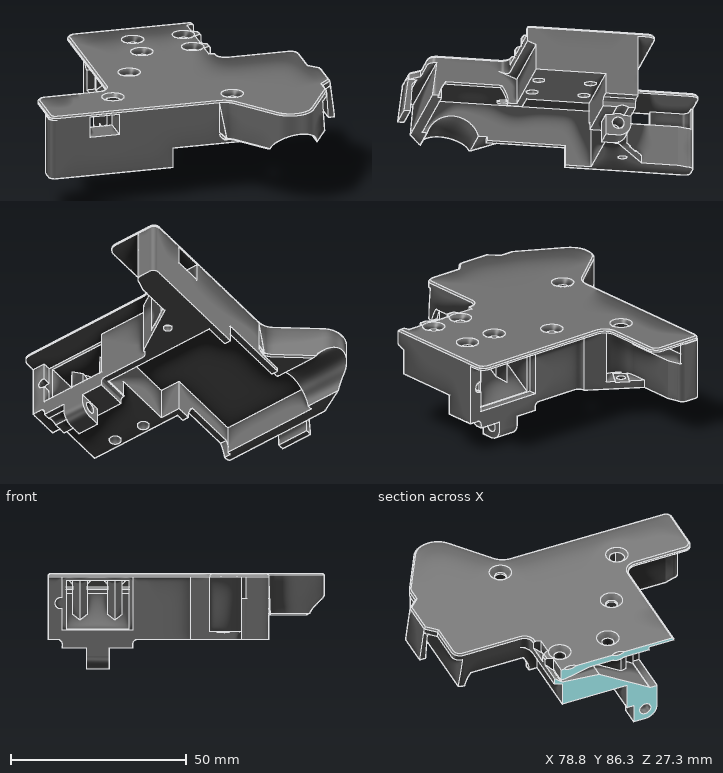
import cadquery as cq
import math


plate_t = 2.1
lip_t = 1.05
edge_chamfer = 0.5
tail_front_y = 0.25
tail_left_x = 46.2
right_x = 62.9
lip_front_y = 21.7
step_y = 59.0
step_x = 29.35
rear_y = 82.0
tab_rear_y = 84.9
tab_left_x = 44.6
tab_right_x = 54.5
tab_flare = 2.85
ear_centre = (71.9, 68.4)
ear_r = 6.87
ear_top_angle = 61.0
ear_front_angle = -51.5
corner_r = 2.6
neck_r = 3.4
ear_root_r = 5.2
ear_shoulder_r = 3.0

body_front_y = 26.9
body_deep_y = 36.3
left_rear_y = 56.5
deep_z = -18.9
mid_z = -13.0
rear_z = -11.9
wall_t = 2.0
overlap = 1.0

slant_start = (40.6, 24.8)
slant_end = (55.1, 15.4)
slant_run_in = 2.0
tail_bend_y = 4.8
tail_taper_end = (56.0, 1.9)
tail_tip_x = 57.7
tail_tip_r = 1.8
bend_offset = 0.55
tail_nose_mid = (56.5, 0.6)
recess_left_x = 46.0
recess_back_y = 26.0
recess_r = 5.7
tab_top_z = -16.6
tab_groove_w = 4.0
tab_groove_depth = 0.3
tab_groove_reach = 12.0
tab_groove_rear = 3.2

pocket_z = -7.2
pocket_front_y = 0.8
pocket_rear_y = 20.4
pocket_r = 2.0
pocket_right_x = 61.0
pocket_window_y = 11.75

frame_x = (3.95, 24.2)
frame_z = -16.1
frame_depth = 2.4
duct_x = (5.2, 23.1)
duct_floor = ((body_front_y + frame_depth, -15.9), (45.0, -5.7), (left_rear_y, -4.6), (step_y, -2.4))
duct_ceiling_dip = ((48.0, -plate_t), (55.5, -3.9))
key_z = -8.5
key_r = 1.6
key_depth = 1.95
post_half_w = 2.1
post_front_y = 33.3
post_point_len = 2.5
post_collar_margin = 2.0
post_rear_half_w = 0.8
post_rear_corner_y = 56.7
outlet_y = 56.9
outlet_x = (2.4, 25.7)
outlet_flare = 0.65
under_lip = ((left_rear_y, -5.6), (61.6, -3.6))

foot_x = (4.05, 24.2)
foot_z = -21.3
foot_r = 1.2
foot_left_run = 0.85
foot_left_drop = 1.75
lug_x = (10.9, 17.5)
lug_rear_y = 34.2
lug_bottom_z = -27.3
lug_hole = (30.6, -23.6)
pin_head_r = 2.85

saddle_centre = (69.0, -14.0)
saddle_r = 7.7
flange_r = 10.25
flange_top_z = -7.75
ear_chamfer = 0.5

rear_wall_top_y = 79.7
rear_wall_bottom_y = 80.9
rear_wall_inner_y = 77.9
clip_outer_y = 86.3
clip_t = 1.9
clip_bottom_z = -11.6
clip_inner_top_y = 83.9
clip_bend_z = -3.4
clip_bend_r = 1.3

screw_d = 3.4
pilot_d = 2.5
head_d = 6.4
post_screw_x = (9.1, 19.05)
post_screw_y = (39.0, 54.0)
lone_screw = (33.9, 31.2)
ear_screw = (58.0, 55.1)
tail_screw = (51.6, 21.6)


def box(x0, x1, y0, y1, z0, z1):
    """Axis-parallel block between two corners."""
    return cq.Workplane("XY").box(x1 - x0, y1 - y0, z1 - z0, centered=False).translate((x0, y0, z0))


def prism_x(points, x0, x1):
    """Prism along X with a (Y, Z) outline."""
    return cq.Workplane("YZ").polyline(points).close().extrude(x1 - x0).translate((x0, 0, 0))


def cylinder_x(y, z, radius, x0, x1):
    """Cylinder along X."""
    return cq.Workplane("YZ").center(y, z).circle(radius).extrude(x1 - x0).translate((x0, 0, 0))


def prism_z(points, z0, z1):
    """Prism along Z with an (X, Y) outline."""
    return cq.Workplane("XY").polyline(points).close().extrude(z1 - z0).translate((0, 0, z0))


def ear_point(angle):
    """Point of the ear arc whose outward normal has this direction in degrees."""
    a = math.radians(angle)
    return (ear_centre[0] + ear_r * math.cos(a), ear_centre[1] + ear_r * math.sin(a))


ear_top = ear_point(ear_top_angle)
ear_front = ear_point(ear_front_angle)
ear_right_x = ear_centre[0] + ear_r
ear_top_x = ear_top[0] - (rear_y - ear_top[1]) * math.tan(math.radians(ear_top_angle))
ear_root_y = ear_front[1] - (ear_front[0] - right_x) / math.tan(math.radians(-ear_front_angle))
ear_flank_mid = ((right_x + ear_front[0]) / 2, (ear_root_y + ear_front[1]) / 2, rear_z)


def fillet_at(solid, x, y, radius):
    """Round the vertical edge that stands at (x, y)."""
    tol = 0.05
    reach = -lug_bottom_z
    picker = cq.selectors.BoxSelector((x - tol, y - tol, -reach), (x + tol, y + tol, reach))
    return solid.edges("|Z").edges(picker).fillet(radius)


def outline_prism(z0, z1):
    """Prism with the outline of the cover and its rounded corners."""
    solid = (
        cq.Workplane("XY").moveTo(0, lip_front_y)
        .lineTo(tail_left_x, lip_front_y).lineTo(tail_left_x, tail_front_y)
        .lineTo(right_x, tail_front_y).lineTo(right_x, ear_root_y)
        .lineTo(*ear_front).threePointArc(ear_point(0), ear_top)
        .lineTo(ear_top_x, rear_y).lineTo(tab_right_x + tab_flare, rear_y)
        .lineTo(tab_right_x, tab_rear_y).lineTo(tab_left_x, tab_rear_y)
        .lineTo(tab_left_x - tab_flare, rear_y).lineTo(step_x, rear_y)
        .lineTo(step_x, step_y).lineTo(0, step_y).close()
        .extrude(z1 - z0).translate((0, 0, z0))
    )
    for x, y, radius in (
        (0, lip_front_y, corner_r), (tail_left_x, lip_front_y, neck_r),
        (tail_left_x, tail_front_y, corner_r), (right_x, tail_front_y, tail_tip_r),
        (right_x, ear_root_y, ear_root_r), (ear_top_x, rear_y, ear_shoulder_r),
        (step_x, rear_y, corner_r), (step_x, step_y, corner_r),
    ):
        solid = fillet_at(solid, x, y, radius)
    return solid


def make_cover():
    """Top layer of the cover with a chamfered upper edge, as thick as the front overhang."""
    cover = outline_prism(-lip_t, 0)
    sharp_end_x = step_x - corner_r
    tol = 0.1
    sharp = cq.selectors.BoxSelector((-tol, step_y - tol, -tol), (sharp_end_x + tol, step_y + tol, tol), True)
    rim = cq.selectors.InverseSelector(sharp)
    return cover.faces(">Z").edges(rim).chamfer(edge_chamfer)


def make_body():
    """Block under the cover, stepped in depth, with a slanted rear face and the thick rear rim."""
    side_profile = [
        (body_front_y, -lip_t), (body_front_y, deep_z), (body_deep_y, deep_z), (body_deep_y, mid_z),
        (step_y, mid_z), (step_y, rear_z), (rear_wall_bottom_y, rear_z),
        (rear_wall_top_y, -plate_t), (tab_rear_y, -plate_t), (tab_rear_y, -lip_t),
    ]
    body = outline_prism(deep_z, -lip_t).intersect(prism_x(side_profile, -overlap, ear_right_x))
    body = body.cut(box(right_x, ear_right_x, body_front_y, rear_y, deep_z, rear_z))
    below_lip = [under_lip[0], under_lip[1], (under_lip[1][0], deep_z), (under_lip[0][0], deep_z)]
    return body.cut(prism_x(below_lip, -overlap, step_x))


def make_front_walls():
    """Slanted front wall and the tail wall, as one solid block behind the front line."""
    bend_mid = (slant_start[0] - bend_offset, body_front_y - bend_offset)
    walls = (
        cq.Workplane("XY").moveTo(slant_start[0] - slant_run_in, body_front_y + wall_t)
        .lineTo(slant_start[0] - slant_run_in, body_front_y)
        .threePointArc(bend_mid, slant_start)
        .lineTo(*slant_end).lineTo(slant_end[0], tail_bend_y).lineTo(*tail_taper_end)
        .threePointArc(tail_nose_mid, (tail_tip_x, 0))
        .lineTo(right_x, 0).lineTo(right_x, body_front_y + wall_t).close()
        .extrude(-lip_t - deep_z).translate((0, 0, deep_z))
    )
    return fillet_at(walls, right_x, 0, tail_tip_r)


def make_screw_recess():
    """Open recess above the screw tab, with the groove across the tab."""
    x0 = recess_left_x
    x1 = slant_end[0]
    recess = box(x0, x1, 0, recess_back_y, tab_top_z, -lip_t)
    recess = fillet_at(recess, x1, recess_back_y, recess_r)
    slant_angle = math.degrees(math.atan2(slant_end[1] - slant_start[1], slant_end[0] - slant_start[0]))
    groove = box(-tab_groove_w / 2, tab_groove_w / 2, -tab_groove_reach, tab_groove_rear, -tab_groove_depth, 0)
    groove = groove.rotate((0, 0, 0), (0, 0, 1), slant_angle).translate((*tail_screw, tab_top_z))
    return recess.union(groove.intersect(recess.translate((0, 0, -tab_groove_depth))))


def make_tail_pocket():
    """Pocket in the top of the tail wall, open to the left and partly to the right."""
    x0 = slant_end[0] - overlap
    pocket = box(x0, pocket_right_x, pocket_front_y, pocket_rear_y, pocket_z, -lip_t)
    pocket = fillet_at(pocket, pocket_right_x, pocket_front_y, pocket_r)
    window = box(x0, right_x + overlap, pocket_window_y, pocket_rear_y, pocket_z, -lip_t)
    return pocket.union(window)


def make_cavity():
    """Space inside the walls, open at the bottom."""
    x1 = right_x - wall_t
    y0 = body_front_y + wall_t
    y1 = left_rear_y - wall_t
    x_low = duct_x[1] + wall_t
    x_high = step_x + wall_t
    outline = [
        (x_low, y0), (x1, y0), (x1, rear_wall_inner_y),
        (x_high, rear_wall_inner_y), (x_high, y1), (x_low, y1),
    ]
    return prism_z(outline, deep_z - overlap, -plate_t)


def make_saddle():
    """Round channel along X, wider where it passes the left rear wall."""
    y, z = saddle_centre
    saddle = cylinder_x(y, z, saddle_r, step_x + wall_t, ear_right_x)
    flange = cylinder_x(y, z, flange_r, step_x - overlap, step_x + wall_t)
    below = box(step_x - overlap, step_x + wall_t, step_y, rear_y, deep_z, flange_top_z)
    return saddle.union(flange.intersect(below))


def make_duct():
    """Cable duct with a rising floor, a front frame and a slanted outlet at the rear edge."""
    floor_front, floor_knee, floor_rear, floor_end = duct_floor
    dip_start, dip_end = duct_ceiling_dip
    ceiling_front = (floor_front[0], -plate_t)
    profile = [
        floor_front, floor_knee, floor_rear, (outlet_y, floor_rear[1]), dip_end, dip_start, ceiling_front,
    ]
    duct = prism_x(profile, *duct_x)

    frame_top = -lip_t
    frame_rear_y = body_front_y + frame_depth
    frame = box(*frame_x, body_front_y, frame_rear_y, frame_z, frame_top)
    key_x = frame_x[0] - key_depth + key_r
    key = (
        cq.Workplane("XZ").center(key_x, key_z).circle(key_r)
        .extrude(-frame_depth).translate((0, body_front_y, 0))
    )

    x0, x1 = outlet_x
    mouth = prism_z(
        [(x0, dip_end[0]), (x1, dip_end[0]), (x1, outlet_y), (x1 + outlet_flare, step_y),
         (x0 - outlet_flare, step_y), (x0, outlet_y)], floor_knee[1], 0)
    mouth_profile = [
        (dip_end[0], floor_rear[1]), floor_rear, floor_end, (floor_end[0], 0), (outlet_y, 0),
        (outlet_y, dip_end[1]), dip_end,
    ]
    mouth = mouth.intersect(prism_x(mouth_profile, 0, step_x))
    return duct.union(frame).union(key).union(mouth)


def make_post(x):
    """Divider around a pair of screws, pointed at the front and tapered at the rear."""
    w = post_half_w
    shoulder_y = post_front_y + post_point_len
    outline = [
        (x, post_front_y), (x + w, shoulder_y), (x + w, post_rear_corner_y), (x + post_rear_half_w, step_y),
        (x - post_rear_half_w, step_y), (x - w, post_rear_corner_y), (x - w, shoulder_y),
    ]
    post = prism_z(outline, frame_z, 0)
    collar_r = head_d / 2 + post_collar_margin - plate_t
    for y in post_screw_y:
        collar = cq.Solid.makeCone(collar_r, 0, collar_r, cq.Vector(x, y, -plate_t), cq.Vector(0, 0, -1))
        post = post.union(cq.Workplane("XY").newObject([collar]))
    return post


def make_foot_and_lug():
    """Foot below the window and the drilled hinge lug under it."""
    x0, x1 = foot_x
    r = foot_r
    foot = (
        cq.Workplane("XZ").moveTo(x0 - foot_left_run, deep_z)
        .radiusArc((x0, deep_z - foot_left_drop), foot_left_drop)
        .lineTo(x0, foot_z).lineTo(x1, foot_z).lineTo(x1, deep_z - r)
        .radiusArc((x1 + r, deep_z), r).close()
        .extrude(body_front_y - body_deep_y).translate((0, body_front_y, 0))
    )
    lug = box(*lug_x, body_front_y, lug_rear_y, lug_bottom_z, deep_z)
    lug = lug.edges("|X").edges("<Z").edges("<Y").fillet(lug_hole[0] - body_front_y)
    head_clearance = cylinder_x(*lug_hole, pin_head_r, x0 - foot_left_run, lug_x[0])
    hole = cylinder_x(*lug_hole, screw_d / 2, x0, lug_x[1] + overlap)
    return foot.union(lug).cut(head_clearance).cut(hole)


def make_clip():
    """Sprung leg that hangs from the rear tab."""
    outline = [
        (rear_wall_top_y, -plate_t), (rear_wall_top_y, -edge_chamfer), (tab_rear_y, -edge_chamfer),
        (clip_outer_y, clip_bottom_z), (clip_outer_y - clip_t, clip_bottom_z),
        (clip_inner_top_y, clip_bend_z), (clip_inner_top_y - clip_bend_r, -plate_t),
    ]
    return prism_x(outline, tab_left_x, tab_right_x)


def screw_hole(x, y):
    """Through hole with a 90 degree countersink at the upper surface."""
    hole = cq.Workplane("XY").center(x, y).circle(screw_d / 2).extrude(foot_z - overlap)
    return hole.union(countersink(x, y))


def countersink(x, y):
    """Downward cone with a 90 degree angle."""
    cone = cq.Solid.makeCone(head_d / 2, 0, head_d / 2, cq.Vector(x, y, 0), cq.Vector(0, 0, -1))
    return cq.Workplane("XY").newObject([cone])


def tail_screw_hole():
    """Countersink through the thin cover and a pilot hole in the tab below."""
    x, y = tail_screw
    pilot = cq.Workplane("XY").center(x, y).circle(pilot_d / 2).extrude(deep_z - overlap)
    return pilot.union(countersink(x, y))


result = make_body().union(make_front_walls())
for cut in (make_screw_recess(), make_tail_pocket(), make_cavity(), make_saddle()):
    result = result.cut(cut)
result = result.union(make_cover()).union(make_clip()).union(make_foot_and_lug())

duct = make_duct()
for screw_x in post_screw_x:
    duct = duct.cut(make_post(screw_x))
result = result.cut(duct)

screws = [(x, y) for x in post_screw_x for y in post_screw_y] + [lone_screw, ear_screw]
for x, y in screws:
    result = result.cut(screw_hole(x, y))
result = result.cut(tail_screw_hole())
result = result.edges(cq.selectors.NearestToPointSelector(ear_flank_mid)).chamfer(ear_chamfer)